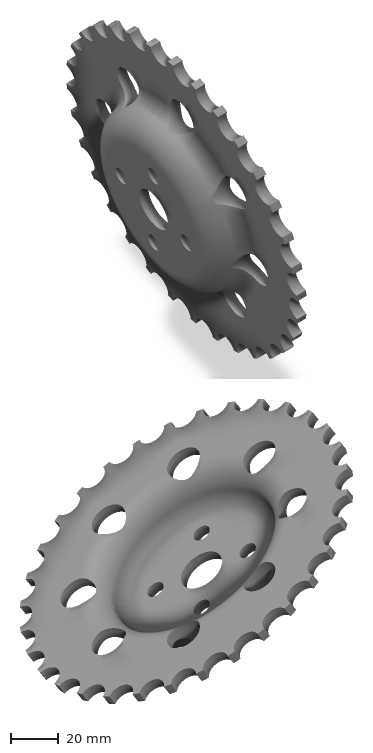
import cadquery as cq
import math


overall_width = 159.5
overall_depth = 20.0
sheet = 5.0
dish_depth = overall_depth - sheet
dish_floor_radius = 32.9
inner_bend = 7.0
outer_bend = inner_bend + sheet

tooth_count = 32
gullet_radius = 6.0
half_width = overall_width / 2
rim_radius = (half_width + math.sqrt(half_width**2 + 2 * gullet_radius**2)) / 2

bore_diameter = 20.0
bolt_hole_diameter = 8.0
bolt_hole_count = 4
bolt_circle_radius = 22.5
window_diameter = 16.0
window_count = 8
window_circle_radius = 52.0

bend_angle = math.acos(1 - dish_depth / (inner_bend + outer_bend))
rim_start_radius = dish_floor_radius + (inner_bend + outer_bend) * math.sin(bend_angle)


def floor_bend_point(radius, angle):
    """Point on a bend that starts at the dish floor, as (radius, Y)."""
    centre_y = outer_bend - overall_depth
    return (dish_floor_radius + radius * math.sin(angle), centre_y - radius * math.cos(angle))


def rim_bend_point(radius, angle):
    """Point on a bend that runs out into the flat rim, as (radius, Y)."""
    centre_y = -sheet - inner_bend
    return (rim_start_radius - radius * math.sin(angle), centre_y + radius * math.cos(angle))


def dished_disc():
    half_angle = bend_angle / 2
    profile = (
        cq.Workplane("XY")
        .moveTo(0, -overall_depth)
        .lineTo(*floor_bend_point(outer_bend, 0))
        .threePointArc(floor_bend_point(outer_bend, half_angle), floor_bend_point(outer_bend, bend_angle))
        .threePointArc(rim_bend_point(inner_bend, half_angle), rim_bend_point(inner_bend, 0))
        .lineTo(rim_radius, -sheet)
        .lineTo(rim_radius, 0)
        .lineTo(*rim_bend_point(outer_bend, 0))
        .threePointArc(rim_bend_point(outer_bend, half_angle), rim_bend_point(outer_bend, bend_angle))
        .threePointArc(floor_bend_point(inner_bend, half_angle), floor_bend_point(inner_bend, 0))
        .lineTo(0, sheet - overall_depth)
        .close()
    )
    return profile.revolve(360, (0, 0, 0), (0, 1, 0))


def through_cylinders(circle_radius, count, diameter):
    """Ring of cylinders along Y, spanning the full depth of the part."""
    return (
        cq.Workplane("XZ")
        .polarArray(circle_radius, 0, 360, count)
        .circle(diameter / 2)
        .extrude(overall_depth)
    )


bore = cq.Workplane("XZ").circle(bore_diameter / 2).extrude(overall_depth)

result = (
    dished_disc()
    .cut(through_cylinders(rim_radius, tooth_count, 2 * gullet_radius))
    .cut(through_cylinders(window_circle_radius, window_count, window_diameter))
    .cut(through_cylinders(bolt_circle_radius, bolt_hole_count, bolt_hole_diameter))
    .cut(bore)
)